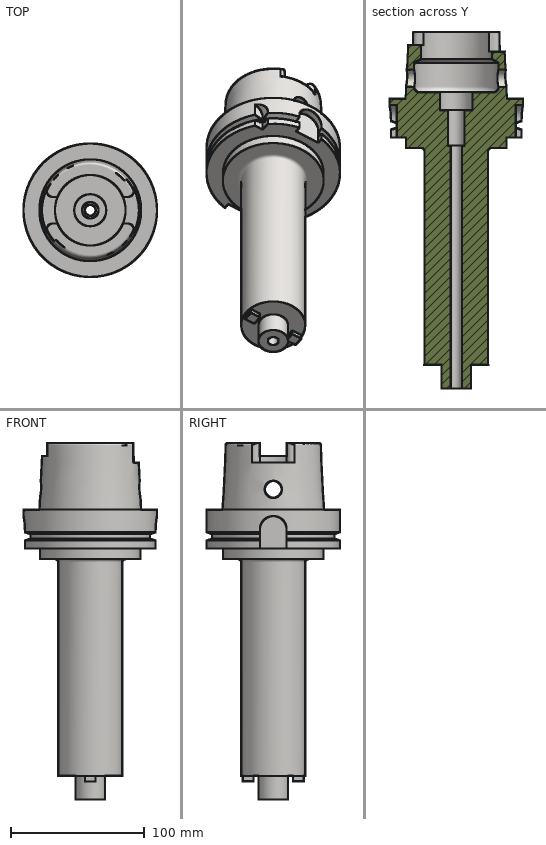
import cadquery as cq
import math


TOTAL_LENGTH = 267.0
TAPER_LENGTH = 50.0
FLANGE_BOTTOM = -29.0
COLLAR_BOTTOM = -37.0
PILOT_LENGTH = 17.5
PILOT_BOTTOM = TAPER_LENGTH - TOTAL_LENGTH
SHAFT_BOTTOM = PILOT_BOTTOM + PILOT_LENGTH

TAPER_BASE_RADIUS = 38.2
TAPER_RATIO = 1 / 20
TAPER_TOP_RADIUS = TAPER_BASE_RADIUS - TAPER_LENGTH * TAPER_RATIO
FLANGE_RADIUS = 50.05
COLLAR_RADIUS = 37.78
SHAFT_RADIUS = 24.0
PILOT_RADIUS = 11.08
RIM_FILLET = 2.0
SHAFT_FILLET = 2.5

GROOVE_RADIUS = 46.0
GROOVE_CENTER = -20.0
GROOVE_MOUTH = 6.5
GROOVE_FLOOR = 3.5

MOUTH_RADIUS = 26.5
MOUTH_DEPTH = 20.3
CHAMBER_RADIUS = 31.5
CHAMBER_FLOOR = 4.8
CHAMBER_FILLET = 4.0
CHAMBER_SLOPE = 60
TUBE_SEAT_RADIUS = 12.0
TUBE_SEAT_DEPTH = 13.4
COOLANT_RADIUS = 6.1
COOLANT_DEPTH = 26.7
THROUGH_RADIUS = 4.0

SLOT_WIDTH = 20.0
NOTCH_CORNER_FILLET = 4.0
SHALLOW_NOTCH_DEPTH = 9.5
DEEP_NOTCH_DEPTH = 14.7

SLOT_TOP = -4.8
SLOT_FLOOR = 44.5
INDEX_CORNER = 31.8

CROSS_HOLE_RADIUS = 6.27
CROSS_HOLE_LEVEL = 15.2

KEY_WIDTH = 7.7
KEY_HEIGHT = 4.0
KEY_INNER = 14.7
KEY_OUTER = 23.0


def turned(points):
    """Solid of revolution about Z from (radius, height) points."""
    return cq.Workplane("XZ").polyline(points).close().revolve(360, (0, 0), (0, 1))


def cylinder(radius, bottom, top):
    return cq.Workplane("XY").workplane(offset=bottom).circle(radius).extrude(top - bottom)


def taper():
    """Cone with a filleted rim and two drive notches."""
    cone = turned([(0, 0), (TAPER_BASE_RADIUS, 0), (TAPER_TOP_RADIUS, TAPER_LENGTH), (0, TAPER_LENGTH)])
    cone = cone.faces(">Z").edges().fillet(RIM_FILLET)
    for side, depth in ((-1, SHALLOW_NOTCH_DEPTH), (1, DEEP_NOTCH_DEPTH)):
        cone = cone.cut(drive_notch(side, depth))
    return cone


def drive_notch(side, depth):
    """Notch through the wall on one X side, flaring outward along its two corner arcs."""
    half = SLOT_WIDTH / 2
    center_y = half + NOTCH_CORNER_FILLET
    rim = TAPER_TOP_RADIUS
    center_x = math.sqrt((rim - NOTCH_CORNER_FILLET) ** 2 - center_y ** 2)
    end_angle = math.atan2(center_y, center_x)
    middle_angle = (end_angle - math.pi / 2) / 2

    def on_corner(angle):
        return (
            center_x + NOTCH_CORNER_FILLET * math.cos(angle),
            center_y + NOTCH_CORNER_FILLET * math.sin(angle),
        )

    def mirrored(point):
        return (point[0], -point[1])

    end = on_corner(end_angle)
    middle = on_corner(middle_angle)
    outside = (FLANGE_RADIUS, end[1])
    notch = (
        cq.Workplane("XY")
        .workplane(offset=TAPER_LENGTH - depth)
        .moveTo(0, -half)
        .lineTo(center_x, -half)
        .threePointArc(mirrored(middle), mirrored(end))
        .lineTo(*mirrored(outside))
        .lineTo(*outside)
        .lineTo(*end)
        .threePointArc(middle, (center_x, half))
        .lineTo(0, half)
        .close()
        .extrude(depth)
    )
    return notch if side > 0 else notch.mirror("YZ")


def flange():
    """Disc with a V-sided gripper groove."""
    return turned([
        (0, 0),
        (FLANGE_RADIUS, 0),
        (FLANGE_RADIUS, GROOVE_CENTER + GROOVE_MOUTH / 2),
        (GROOVE_RADIUS, GROOVE_CENTER + GROOVE_FLOOR / 2),
        (GROOVE_RADIUS, GROOVE_CENTER - GROOVE_FLOOR / 2),
        (FLANGE_RADIUS, GROOVE_CENTER - GROOVE_MOUTH / 2),
        (FLANGE_RADIUS, FLANGE_BOTTOM),
        (0, FLANGE_BOTTOM),
    ])


def flange_slot(center_y, floor_x):
    """Round-topped slot open downward and outward, on the +X side."""
    radius = SLOT_WIDTH / 2
    arc_level = SLOT_TOP - radius
    return (
        cq.Workplane("YZ")
        .workplane(offset=floor_x)
        .moveTo(center_y - radius, FLANGE_BOTTOM)
        .lineTo(center_y - radius, arc_level)
        .threePointArc((center_y, SLOT_TOP), (center_y + radius, arc_level))
        .lineTo(center_y + radius, FLANGE_BOTTOM)
        .close()
        .extrude(FLANGE_RADIUS - floor_x)
    )


def shank():
    """Collar, shaft with a concave fillet under the collar, and end pilot."""
    fillet_bend = SHAFT_FILLET * (1 - math.sqrt(0.5))
    return (
        cq.Workplane("XZ")
        .moveTo(0, FLANGE_BOTTOM)
        .lineTo(COLLAR_RADIUS, FLANGE_BOTTOM)
        .lineTo(COLLAR_RADIUS, COLLAR_BOTTOM)
        .lineTo(SHAFT_RADIUS + SHAFT_FILLET, COLLAR_BOTTOM)
        .threePointArc(
            (SHAFT_RADIUS + fillet_bend, COLLAR_BOTTOM - fillet_bend),
            (SHAFT_RADIUS, COLLAR_BOTTOM - SHAFT_FILLET),
        )
        .lineTo(SHAFT_RADIUS, SHAFT_BOTTOM)
        .lineTo(PILOT_RADIUS, SHAFT_BOTTOM)
        .lineTo(PILOT_RADIUS, PILOT_BOTTOM)
        .lineTo(0, PILOT_BOTTOM)
        .close()
        .revolve(360, (0, 0), (0, 1))
    )


def drive_keys():
    """Two rectangular keys under the shaft, on opposite Y sides of the pilot."""
    middle = (KEY_INNER + KEY_OUTER) / 2
    return (
        cq.Workplane("XY")
        .workplane(offset=SHAFT_BOTTOM - KEY_HEIGHT)
        .pushPoints([(0, -middle), (0, middle)])
        .rect(KEY_WIDTH, KEY_OUTER - KEY_INNER)
        .extrude(KEY_HEIGHT)
    )


def bore():
    """Clamping chamber, undercut behind its mouth, above a stepped through hole."""
    mouth_bottom = TAPER_LENGTH - MOUTH_DEPTH
    slope_drop = (CHAMBER_RADIUS - MOUTH_RADIUS) / math.tan(math.radians(CHAMBER_SLOPE))
    chamber = turned([
        (0, TAPER_LENGTH),
        (MOUTH_RADIUS, TAPER_LENGTH),
        (MOUTH_RADIUS, mouth_bottom),
        (CHAMBER_RADIUS, mouth_bottom - slope_drop),
        (CHAMBER_RADIUS, CHAMBER_FLOOR),
        (0, CHAMBER_FLOOR),
    ])
    chamber = chamber.faces("<Z").edges().fillet(CHAMBER_FILLET)
    tube_bottom = CHAMBER_FLOOR - TUBE_SEAT_DEPTH
    tube_seat = cylinder(TUBE_SEAT_RADIUS, tube_bottom, CHAMBER_FLOOR)
    coolant_hole = cylinder(COOLANT_RADIUS, tube_bottom - COOLANT_DEPTH, CHAMBER_FLOOR)
    through_hole = cylinder(THROUGH_RADIUS, PILOT_BOTTOM, CHAMBER_FLOOR)
    return chamber.union(tube_seat).union(coolant_hole).union(through_hole)


def cross_hole():
    return (
        cq.Workplane("YZ")
        .center(0, CROSS_HOLE_LEVEL)
        .circle(CROSS_HOLE_RADIUS)
        .extrude(FLANGE_RADIUS, both=True)
    )


center_slot = flange_slot(0, SLOT_FLOOR)
index_slot = flange_slot(INDEX_CORNER + SLOT_WIDTH / 2, INDEX_CORNER).mirror("YZ")
slotted_flange = flange().cut(center_slot).cut(center_slot.mirror("YZ")).cut(index_slot)

result = taper().union(slotted_flange).union(shank()).union(drive_keys())
result = result.cut(bore()).cut(cross_hole())